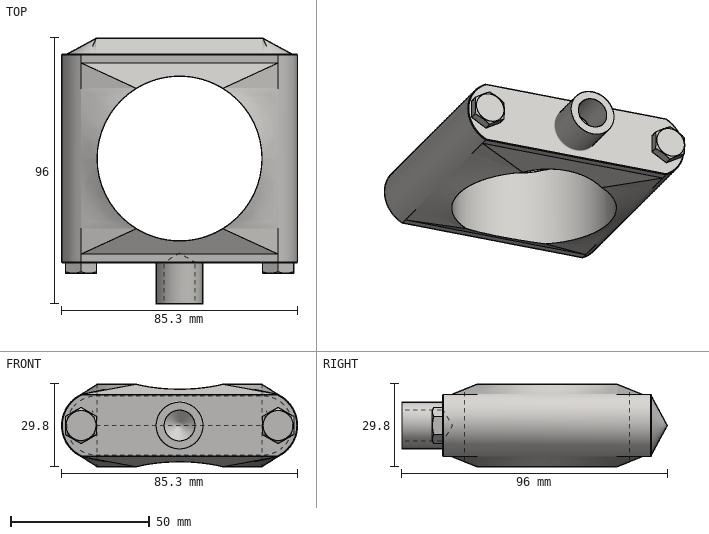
import cadquery as cq
import math

body_width = 85.3
body_height = 22.45
body_length = 75.4
bolt_spacing = 71.2
edge_chamfer = 0.3
half_width = body_width / 2
half_height = body_height / 2
half_length = body_length / 2
flat_half_width = bolt_spacing / 2

bore_radius = 29.7
overall_height = 29.8
roof_base_half_length = 34.5
roof_crest_half_length = 25.3
crest_z = overall_height / 2
crest_x = math.sqrt(bore_radius**2 - roof_crest_half_length**2)

ridge_half_length = 30.1
ridge_height = 5.8
ridge_inset = 0.3
ridge_base_radius = half_height - edge_chamfer - ridge_inset

boss_diameter = 16.9
boss_length = 14.8
boss_fillet = 0.4
boss_hole_diameter = 11.1
boss_hole_depth = 15.0
drill_point_angle = 118

bolt_across_flats = 11.3
bolt_face_diameter = 10.8
bolt_head_height = 3.8
bolt_edge_angle = 30
hexagon_sides = 6


def make_body():
    profile = (
        cq.Workplane("XZ", origin=(0, half_length, 0))
        .moveTo(-flat_half_width, half_height)
        .lineTo(flat_half_width, half_height)
        .threePointArc((half_width, 0), (flat_half_width, -half_height))
        .lineTo(-flat_half_width, -half_height)
        .threePointArc((-half_width, 0), (-flat_half_width, half_height))
        .close()
    )
    return profile.extrude(body_length).faces("<Y or >Y").chamfer(edge_chamfer)


def planar_face(*points):
    return cq.Face.makeFromWires(cq.Wire.makePolygon(points, close=True))


def make_roof():
    """Solid mound over the flat: sloped plane ends, ruled sides from bore arc to straight edge."""

    def base(sx, y):
        return cq.Vector(sx * flat_half_width, y, half_height)

    def crest(sx, sy):
        return cq.Vector(sx * crest_x, sy * roof_crest_half_length, crest_z)

    faces = []
    crest_edges = []
    corner_signs = ((1, 1), (-1, 1), (-1, -1), (1, -1))
    base_points = [base(sx, sy * roof_base_half_length) for sx, sy in corner_signs]
    mid_angle = math.atan2(roof_crest_half_length, crest_x) / 2

    for sx in (1, -1):
        side_mid = cq.Vector(sx * bore_radius, 0, crest_z)
        for sy in (1, -1):
            arc_mid = cq.Vector(
                sx * bore_radius * math.cos(mid_angle), sy * bore_radius * math.sin(mid_angle), crest_z
            )
            arc = cq.Edge.makeThreePointArc(side_mid, arc_mid, crest(sx, sy))
            line = cq.Edge.makeLine(base(sx, 0), base(sx, sy * roof_crest_half_length))
            faces.append(cq.Face.makeRuledSurface(arc, line))
            crest_edges.append(arc)
            faces.append(
                planar_face(
                    crest(sx, sy),
                    base(sx, sy * roof_crest_half_length),
                    base(sx, sy * roof_base_half_length),
                )
            )

    for sy in (1, -1):
        faces.append(
            planar_face(
                crest(-1, sy),
                crest(1, sy),
                base(1, sy * roof_base_half_length),
                base(-1, sy * roof_base_half_length),
            )
        )
        crest_edges.append(cq.Edge.makeLine(crest(-1, sy), crest(1, sy)))

    crest_outline = cq.Wire.combine(crest_edges)[0]
    faces.append(cq.Face.makeFromWires(crest_outline))
    faces.append(planar_face(*base_points))
    return cq.Workplane(cq.Solid.makeSolid(cq.Shell.makeShell(faces)))


def make_ridge():
    """Roof-shaped ridge along X whose two ends are half cones."""
    prism = (
        cq.Workplane("YZ", origin=(-ridge_half_length, 0, 0))
        .moveTo(half_length, -ridge_base_radius)
        .lineTo(half_length + ridge_height, 0)
        .lineTo(half_length, ridge_base_radius)
        .close()
        .extrude(2 * ridge_half_length)
    )
    for x in (-ridge_half_length, ridge_half_length):
        cone = cq.Solid.makeCone(
            ridge_base_radius, 0, ridge_height, pnt=cq.Vector(x, half_length, 0), dir=cq.Vector(0, 1, 0)
        )
        prism = prism.union(cq.Workplane(cone))
    return prism


def make_boss():
    """Round boss with a concave fillet at its foot, revolved about Y."""
    radius = boss_diameter / 2
    fillet_mid = boss_fillet * (1 - math.sqrt(0.5))
    return (
        cq.Workplane("XY", origin=(0, -half_length, 0))
        .lineTo(radius + boss_fillet, 0)
        .threePointArc((radius + fillet_mid, -fillet_mid), (radius, -boss_fillet))
        .lineTo(radius, -boss_length)
        .lineTo(0, -boss_length)
        .close()
        .revolve(360, (0, 0, 0), (0, 1, 0))
    )


def make_boss_hole():
    """Blind drilled hole with a conical end, revolved about Y."""
    radius = boss_hole_diameter / 2
    point_depth = radius / math.tan(math.radians(drill_point_angle / 2))
    return (
        cq.Workplane("XY", origin=(0, -half_length - boss_length, 0))
        .lineTo(radius, 0)
        .lineTo(radius, boss_hole_depth)
        .lineTo(0, boss_hole_depth + point_depth)
        .close()
        .revolve(360, (0, 0, 0), (0, 1, 0))
    )


def make_bolt_head(x):
    """Hexagon head with its corners pointing up and down, outer corners turned to a cone."""
    face_radius = bolt_face_diameter / 2
    corner_radius = bolt_across_flats / 2 / math.cos(math.pi / hexagon_sides)
    cone_depth = (corner_radius - face_radius) * math.tan(math.radians(bolt_edge_angle))
    hexagon = (
        cq.Workplane("XZ", origin=(x, -half_length, 0))
        .transformed(rotate=(0, 0, 90))
        .polygon(hexagon_sides, 2 * corner_radius)
        .extrude(bolt_head_height)
    )
    envelope = (
        cq.Workplane("XY", origin=(x, -half_length, 0))
        .lineTo(corner_radius, 0)
        .lineTo(corner_radius, cone_depth - bolt_head_height)
        .lineTo(face_radius, -bolt_head_height)
        .lineTo(0, -bolt_head_height)
        .close()
        .revolve(360, (0, 0, 0), (0, 1, 0))
    )
    return hexagon.intersect(envelope)


roof = make_roof()
bore = cq.Workplane("XY", origin=(0, 0, -crest_z)).circle(bore_radius).extrude(overall_height)

result = make_body().union(roof).union(roof.mirror("XY")).cut(bore)
result = result.union(make_ridge()).union(make_boss()).cut(make_boss_hole())
for bolt_x in (-flat_half_width, flat_half_width):
    result = result.union(make_bolt_head(bolt_x))